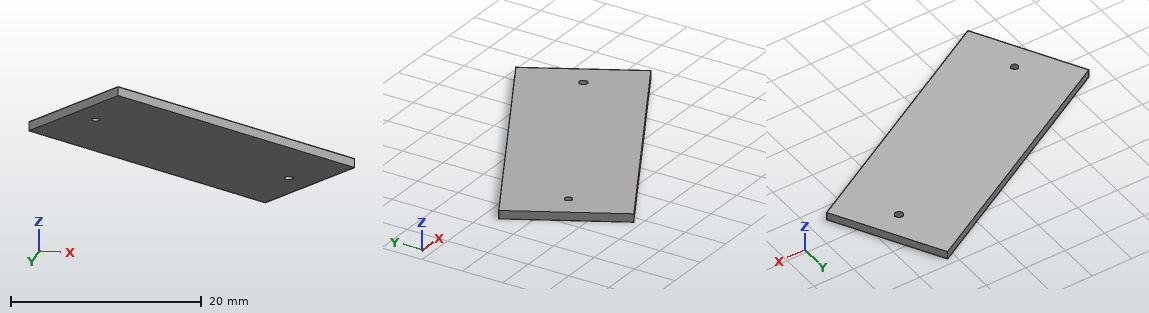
import cadquery as cq
import math

extent_x = 35.7
extent_y = 28.4
thickness = 1.0
tilt_degrees = 29.1

large_hole_diameter = 0.95
large_hole_centre = (13.4, -0.18)
small_hole_diameter = 0.85
small_hole_centre = (-13.42, -0.07)

tilt_cos = math.cos(math.radians(tilt_degrees))
tilt_sin = math.sin(math.radians(tilt_degrees))
determinant = tilt_cos**2 - tilt_sin**2
plate_length = (extent_x * tilt_cos - extent_y * tilt_sin) / determinant
plate_width = (extent_y * tilt_cos - extent_x * tilt_sin) / determinant


def drill_through(body, centre, diameter):
    """Cut a round hole through the full thickness of the plate."""
    return body.faces(">Z").workplane(origin=(0, 0, 0)).center(*centre).hole(diameter)


plate = cq.Workplane("XY").box(plate_length, plate_width, thickness)
plate = drill_through(plate, large_hole_centre, large_hole_diameter)
plate = drill_through(plate, small_hole_centre, small_hole_diameter)

result = plate.rotate((0, 0, 0), (0, 0, 1), tilt_degrees)